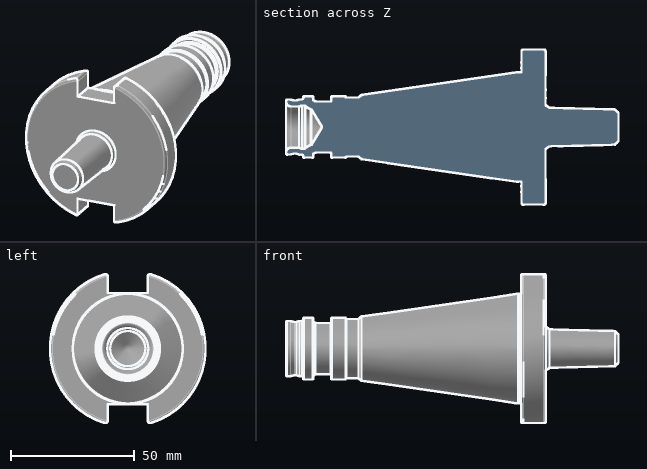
import cadquery as cq
import math


gauge_radius = 44.45 / 2
taper_slope = 7 / 48
shank_length = 93.4
flange_gap = 1.6
flange_width = 10.0
flange_radius = 31.5
flange_edge_fillet = 1.0
cone_end = 0.4
relief_depth = 0.2
relief_end = 1.2

slot_width = 16.1
slot_floor = 22.5

stub_length = 29.4
stub_root_radius = 15.733 / 2
stub_slope = 1 / 40
stub_root_flare = 1.0
stub_root_length = 1.5
stub_tip_chamfer = 1.5

nose_radius = 11.2
nose_chamfer = 0.4
nose_groove_start = 1.75
nose_groove_floor_start = 3.4
nose_groove_floor_end = 4.2
nose_groove_end = 5.4
nose_groove_depth = 0.4
collar_radius = 12.5
collar_flare_start = 6.5
collar_flare_height = 0.5
collar_start = 7.0
collar_end = 11.1
neck_radius = 10.4
neck_flare_length = 0.9
neck_flare_height = 0.5
band_start = 18.3
edge_break = 0.3
band_end = 24.0
band_back = 24.4
land_radius = 12.0
land_end = 29.3
taper_start = 30.5

bore_radius = 7.1
bore_depth = 10.3
counterbore_radius = 8.3
counterbore_depth = 7.9
undercut_start = 5.3
undercut_floor_start = 6.4
undercut_floor_end = 7.6
undercut_depth = 0.4
center_cone_half_angle = 30
mouth_fillet = 2.0
drill_tip_angle = 118

end_face = -shank_length
flange_front = flange_gap
flange_back = flange_front + flange_width
stub_tip = flange_back + stub_length


def taper_radius(x):
    """Radius of the 7:24 cone at position x."""
    return gauge_radius + taper_slope * x


def at(distance):
    """X position at a distance from the narrow end face."""
    return end_face + distance


def turned_body():
    floor_radius = nose_radius - nose_groove_depth
    relief_radius = taper_radius(cone_end) - relief_depth
    stub_root_end = flange_back + stub_root_length
    chamfer_start = stub_tip - stub_tip_chamfer
    stub_end_radius = stub_root_radius - stub_slope * (chamfer_start - stub_root_end)
    outline = [
        (end_face, 0),
        (end_face, nose_radius - nose_chamfer),
        (at(nose_chamfer), nose_radius),
        (at(nose_groove_start), nose_radius),
        (at(nose_groove_floor_start), floor_radius),
        (at(nose_groove_floor_end), floor_radius),
        (at(nose_groove_end), nose_radius),
        (at(collar_flare_start), nose_radius),
        (at(collar_start), nose_radius + collar_flare_height),
        (at(collar_start), collar_radius - edge_break),
        (at(collar_start + edge_break), collar_radius),
        (at(collar_end - edge_break), collar_radius),
        (at(collar_end), collar_radius - edge_break),
        (at(collar_end), neck_radius + neck_flare_height),
        (at(collar_end + neck_flare_length), neck_radius),
        (at(band_start - edge_break), neck_radius),
        (at(band_start), neck_radius + edge_break),
        (at(band_start), collar_radius - edge_break),
        (at(band_start + edge_break), collar_radius),
        (at(band_end), collar_radius),
        (at(band_back), land_radius),
        (at(land_end), land_radius),
        (at(taper_start), taper_radius(at(taper_start))),
        (cone_end, taper_radius(cone_end)),
        (cone_end + relief_depth, relief_radius),
        (relief_end, relief_radius),
        (flange_front, gauge_radius),
        (flange_back, gauge_radius),
        (flange_back, stub_root_radius + stub_root_flare),
        (stub_root_end, stub_root_radius),
        (chamfer_start, stub_end_radius),
        (stub_tip, stub_end_radius - stub_tip_chamfer),
        (stub_tip, 0),
    ]
    return cq.Workplane("XY").polyline(outline).close().revolve(360, (0, 0, 0), (1, 0, 0))


def slotted_flange():
    """Flange disc with two opposite driving slots, rounded along its outer edges."""
    flange = cq.Workplane("YZ", origin=(flange_front, 0, 0)).circle(flange_radius).extrude(flange_width)
    slot_height = flange_radius
    slot_center_x = flange_front + flange_width / 2
    slot_center_z = slot_floor + slot_height / 2
    for side in (1, -1):
        slot = cq.Workplane("XY").box(flange_width, slot_width, slot_height)
        flange = flange.cut(slot.translate((slot_center_x, 0, side * slot_center_z)))
    outer_edges = flange.faces("%CYLINDER").edges()
    return outer_edges.fillet(flange_edge_fillet)


def bore():
    undercut_radius = counterbore_radius + undercut_depth
    cone_length = (counterbore_radius - bore_radius) / math.tan(math.radians(center_cone_half_angle))
    tip_length = bore_radius / math.tan(math.radians(drill_tip_angle / 2))
    return (
        cq.Workplane("XY")
        .moveTo(end_face, 0)
        .lineTo(end_face, counterbore_radius + mouth_fillet)
        .radiusArc((at(mouth_fillet), counterbore_radius), -mouth_fillet)
        .lineTo(at(undercut_start), counterbore_radius)
        .lineTo(at(undercut_floor_start), undercut_radius)
        .lineTo(at(undercut_floor_end), undercut_radius)
        .lineTo(at(counterbore_depth), counterbore_radius)
        .lineTo(at(counterbore_depth + cone_length), bore_radius)
        .lineTo(at(bore_depth), bore_radius)
        .lineTo(at(bore_depth + tip_length), 0)
        .close()
        .revolve(360, (0, 0, 0), (1, 0, 0))
    )


result = turned_body().union(slotted_flange()).cut(bore())